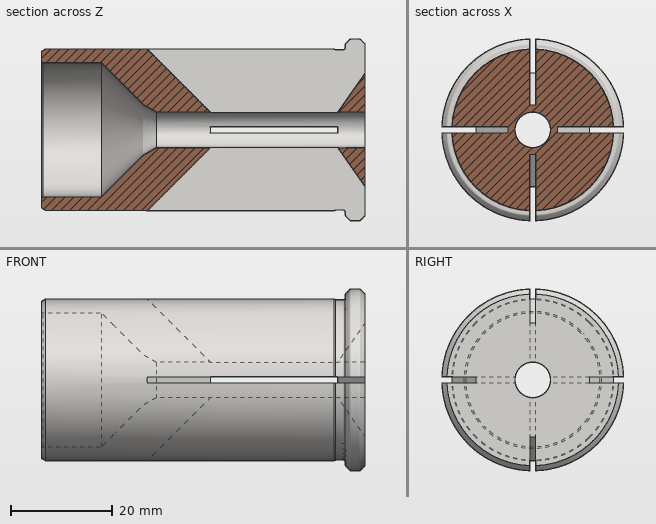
import cadquery as cq
import math

length = 64.0
body_radius = 32.0 / 2
collar_radius = 36.0 / 2

nose_chamfer_length = 0.8
nose_chamfer_slope = 30.0
nose_round = 0.45

groove_start = 57.8
groove_taper_length = 0.4
groove_depth = 0.1
groove_corner_round = 0.4

collar_start = 60.0
collar_chamfer = 1.0
collar_rear_round = 0.5
collar_front_round = 0.3

recess_radius = 26.5 / 2
recess_depth = 11.9
recess_lip_chamfer = 0.3
recess_cone_half_angle = 45.0
countersink_radius = 10.0 / 2
countersink_half_angle = 30.0
hole_radius = 7.0 / 2

slot_count = 4
slot_width = 1.15
slot_start = 20.9
slot_rear_slope = 45.0
slot_front_start = 58.55
slot_front_slope = 55.0
slot_clearance = 0.65


def run_of_slope(rise, angle):
    """Length along X of a slope that rises radially at an angle to the X axis."""
    return rise / math.tan(math.radians(angle))


def rise_of_slope(run, angle):
    """Radial rise of a slope that runs along X at an angle to the X axis."""
    return run * math.tan(math.radians(angle))


def revolve_about_x(half_profile):
    """Turn a half profile, drawn as X against radius, about the X axis."""
    return half_profile.close().revolve(360, (0, 0, 0), (1, 0, 0))


def edges_at(solid, x, radius):
    """Select the circular edge of a given radius centred on the X axis at x."""
    margin = 0.005
    outer = cq.selectors.BoxSelector(
        (x - margin, -radius - margin, -radius - margin),
        (x + margin, radius + margin, radius + margin),
        boundingbox=True,
    )
    reach = radius - margin
    inner = cq.selectors.BoxSelector(
        (x - margin, -reach, -reach),
        (x + margin, reach, reach),
        boundingbox=True,
    )
    return solid.edges(outer - inner)


def make_outside():
    nose_radius = body_radius - rise_of_slope(nose_chamfer_length, nose_chamfer_slope)
    groove_radius = body_radius - groove_depth
    face_radius = collar_radius - collar_chamfer
    rear_shoulder = collar_start + collar_chamfer
    front_shoulder = length - collar_chamfer
    outside = revolve_about_x(
        cq.Workplane("XY")
        .lineTo(0, nose_radius)
        .lineTo(nose_chamfer_length, body_radius)
        .lineTo(groove_start, body_radius)
        .lineTo(groove_start + groove_taper_length, groove_radius)
        .lineTo(collar_start, groove_radius)
        .lineTo(collar_start, face_radius)
        .lineTo(rear_shoulder, collar_radius)
        .lineTo(front_shoulder, collar_radius)
        .lineTo(length, face_radius)
        .lineTo(length, 0)
    )
    rounds = [
        (0, nose_radius, nose_round),
        (collar_start, groove_radius, groove_corner_round),
        (collar_start, face_radius, collar_rear_round),
        (rear_shoulder, collar_radius, collar_rear_round),
        (front_shoulder, collar_radius, collar_front_round),
    ]
    for x, radius, round_radius in rounds:
        outside = edges_at(outside, x, radius).fillet(round_radius)
    return outside


def make_bore():
    cone_end = recess_depth + run_of_slope(recess_radius - countersink_radius, recess_cone_half_angle)
    hole_start = cone_end + run_of_slope(countersink_radius - hole_radius, countersink_half_angle)
    return revolve_about_x(
        cq.Workplane("XY")
        .lineTo(0, recess_radius + recess_lip_chamfer)
        .lineTo(recess_lip_chamfer, recess_radius)
        .lineTo(recess_depth, recess_radius)
        .lineTo(cone_end, countersink_radius)
        .lineTo(hole_start, hole_radius)
        .lineTo(length, hole_radius)
        .lineTo(length, 0)
    )


def make_slot():
    """One slot on the +Z side; its floor lies on the axis, inside the through hole."""
    outer_radius = collar_radius + slot_clearance
    rear_bottom = slot_start + run_of_slope(body_radius, slot_rear_slope)
    front_bottom = slot_front_start - run_of_slope(hole_radius, slot_front_slope)
    front_top_radius = rise_of_slope(length - front_bottom, slot_front_slope)
    return (
        cq.Workplane("XZ")
        .moveTo(slot_start, outer_radius)
        .lineTo(slot_start, body_radius)
        .lineTo(rear_bottom, 0)
        .lineTo(front_bottom, 0)
        .lineTo(length, front_top_radius)
        .lineTo(length, outer_radius)
        .close()
        .extrude(slot_width / 2, both=True)
    )


result = make_outside().cut(make_bore())
for index in range(slot_count):
    angle = index * 360 / slot_count
    result = result.cut(make_slot().rotate((0, 0, 0), (1, 0, 0), angle))